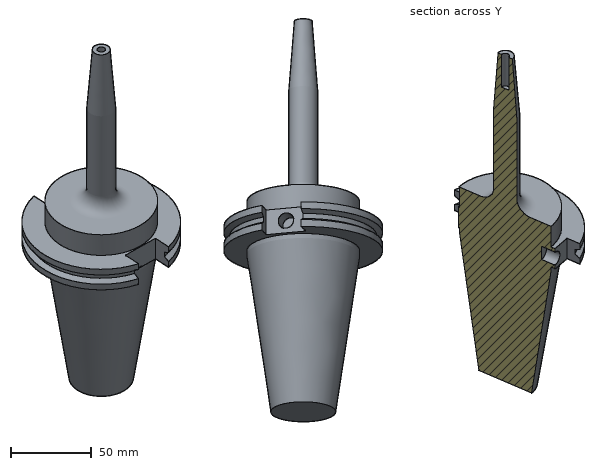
import cadquery as cq

total_height = 254.0

gauge_height = 101.5
gauge_diameter = 69.8
taper_per_length = 3.5 / 12
shank_end_diameter = gauge_diameter - taper_per_length * gauge_height

flange_diameter = 98.3
flange_bottom = gauge_height + 3.0
flange_top = gauge_height + 19.0
flange_middle = (flange_bottom + flange_top) / 2
groove_root_diameter = 91.2
groove_mouth_width = 7.0
groove_floor_width = 3.3

slot_width = 25.5
left_slot_floor = 37.8
right_slot_floor = 35.5

side_hole_diameter = 10.0
side_hole_depth = 10.2

collar_top = 136.7
stem_diameter = 18.0
stem_fillet = 10.0
nose_taper_start = 208.8
tip_diameter = 11.2
bore_diameter = 5.0
bore_depth = 25.5


def make_body():
    """Revolve the half profile of shank, flange, collar and nose."""
    flange_radius = flange_diameter / 2
    root_radius = groove_root_diameter / 2
    collar_radius = gauge_diameter / 2
    stem_radius = stem_diameter / 2
    half_mouth = groove_mouth_width / 2
    half_floor = groove_floor_width / 2
    return (
        cq.Workplane("XZ")
        .lineTo(shank_end_diameter / 2, 0)
        .lineTo(collar_radius, gauge_height)
        .lineTo(collar_radius, flange_bottom)
        .lineTo(flange_radius, flange_bottom)
        .lineTo(flange_radius, flange_middle - half_mouth)
        .lineTo(root_radius, flange_middle - half_floor)
        .lineTo(root_radius, flange_middle + half_floor)
        .lineTo(flange_radius, flange_middle + half_mouth)
        .lineTo(flange_radius, flange_top)
        .lineTo(collar_radius, flange_top)
        .lineTo(collar_radius, collar_top)
        .lineTo(stem_radius + stem_fillet, collar_top)
        .radiusArc((stem_radius, collar_top + stem_fillet), stem_fillet)
        .lineTo(stem_radius, nose_taper_start)
        .lineTo(tip_diameter / 2, total_height)
        .lineTo(0, total_height)
        .close()
        .revolve(360, (0, 0, 0), (0, 1, 0))
    )


def make_slot(side, floor_distance):
    """Cutter for one drive slot; side is -1 for -X and +1 for +X."""
    depth = flange_diameter / 2 - floor_distance
    return cq.Workplane("XY").box(2 * depth, slot_width, flange_top - flange_bottom).translate(
        (side * (floor_distance + depth), 0, flange_middle)
    )


def make_side_hole():
    """Cutter for the radial hole, running inward from the left slot floor."""
    return (
        cq.Workplane("YZ", origin=(-left_slot_floor, 0, flange_middle))
        .circle(side_hole_diameter / 2)
        .extrude(side_hole_depth)
    )


def make_bore():
    """Cutter for the tool bore in the tip."""
    return (
        cq.Workplane("XY", origin=(0, 0, total_height - bore_depth))
        .circle(bore_diameter / 2)
        .extrude(bore_depth)
    )


result = (
    make_body()
    .cut(make_slot(-1, left_slot_floor))
    .cut(make_slot(1, right_slot_floor))
    .cut(make_side_hole())
    .cut(make_bore())
)